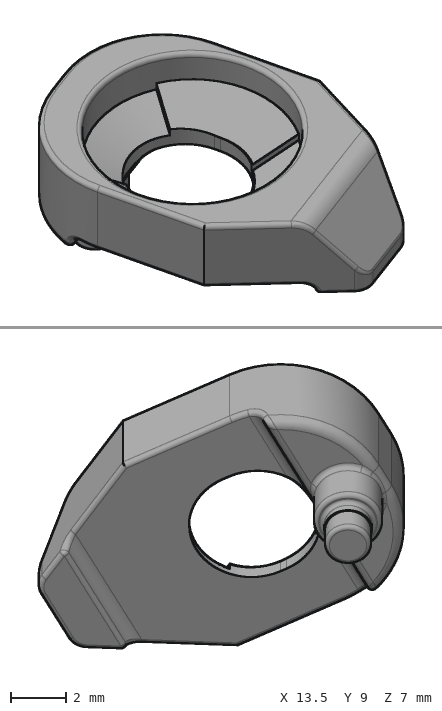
import cadquery as cq
import math

total_height = 7.0
plate_bottom = 4.01
pad_bottom = 3.21
foot_bottom = 3.54
shoulder_z = 1.48

length = 13.5
width = 9.0
end_flat = 1.0
end_radius = (width - end_flat) / 2
taper_start_x = 8.37
taper_angle = 30.0
nose_half_width = width / 2 - (length - taper_start_x) * math.tan(math.radians(taper_angle))
nose_corner_radius = 0.8

pad_end_x = 2.84
foot_start_x = 11.8
step_radius = 0.5
slope_top_x = 11.53
slope_angle = 54.0
slope_round = 1.0
edge_round = 0.19
pad_round = 0.39

bore_x = 5.51
bore_radius = 4.0
slot_x = 5.33
slot_radius = 2.27
slot_shift = 0.24
high_seat_rim = 5.75
seat_step = 0.3
seat_drop = 1.08
low_sector_half_angle = 43.0

pin_x = 1.51
pin_radius = 1.24
pin_shoulder_round = 0.18
pin_root_round = 0.2
neck_radius = 0.86
neck_bottom = 1.01
neck_round = 0.16
tip_radius = 0.84
tip_round = 0.16

small_gap = 0.01


def plan_outline():
    """Rounded end, parallel sides and a tapered nose, through the full height."""
    half = width / 2
    flat = end_flat / 2
    diagonal = end_radius * math.sqrt(0.5)
    arc_mid = (end_radius - diagonal, flat + diagonal)
    outline = (
        cq.Workplane("XY")
        .moveTo(0, -flat)
        .lineTo(0, flat)
        .threePointArc(arc_mid, (end_radius, half))
        .lineTo(taper_start_x, half)
        .lineTo(length, nose_half_width)
        .lineTo(length, -nose_half_width)
        .lineTo(taper_start_x, -half)
        .lineTo(end_radius, -half)
        .threePointArc((arc_mid[0], -arc_mid[1]), (0, -flat))
        .close()
        .extrude(total_height)
    )
    return outline.edges("|Z and >X").fillet(nose_corner_radius)


def side_profile():
    """Pad at the pin end, thin middle, foot and sloped nose, across the full width."""
    slope_end_z = total_height - (length - slope_top_x) * math.tan(math.radians(slope_angle))
    tangent = slope_round * math.tan(math.radians(slope_angle / 2))
    slope_x = slope_top_x + tangent * math.cos(math.radians(slope_angle))
    slope_z = total_height - tangent * math.sin(math.radians(slope_angle))
    step_z = plate_bottom - step_radius
    return (
        cq.Workplane("XZ")
        .moveTo(0, pad_bottom)
        .lineTo(pad_end_x, pad_bottom)
        .lineTo(pad_end_x, step_z)
        .radiusArc((pad_end_x + step_radius, plate_bottom), step_radius)
        .lineTo(foot_start_x - step_radius, plate_bottom)
        .radiusArc((foot_start_x, foot_bottom), step_radius)
        .lineTo(length, foot_bottom)
        .lineTo(length, slope_end_z)
        .lineTo(slope_x, slope_z)
        .radiusArc((slope_top_x - tangent, total_height), -slope_round)
        .lineTo(0, total_height)
        .close()
        .extrude(width / 2, both=True)
    )


def seat_cutter(rim_z):
    """Bore with a rounded rim above a conical seat that narrows down to the slot radius."""
    return (
        cq.Workplane("XZ", origin=(bore_x, 0, 0))
        .moveTo(0, rim_z - seat_drop)
        .lineTo(slot_radius, rim_z - seat_drop)
        .lineTo(bore_radius, rim_z)
        .lineTo(bore_radius, total_height - edge_round)
        .radiusArc((bore_radius + edge_round, total_height), edge_round)
        .lineTo(0, total_height)
        .close()
        .revolve(360, (0, 0), (0, 1))
    )


def low_sectors():
    """Two opposed sectors around the bore, facing -X and +X."""
    reach = bore_radius * 2
    spread = reach * math.tan(math.radians(low_sector_half_angle))
    sectors = cq.Workplane("XY", origin=(bore_x, 0, 0))
    for side in (-1, 1):
        sectors = sectors.polyline([(0, 0), (side * reach, -spread), (side * reach, spread)]).close()
    return sectors.extrude(total_height)


def seat_opening():
    """Seat whose lengthwise sectors lie one step below the crosswise ones."""
    high_seat = seat_cutter(high_seat_rim)
    low_seat = seat_cutter(high_seat_rim - seat_step).intersect(low_sectors())
    slot = (
        cq.Workplane("XY", origin=(slot_x, 0, 0))
        .slot2D(2 * slot_radius + slot_shift, 2 * slot_radius)
        .extrude(total_height)
    )
    return high_seat.union(low_seat).union(slot)


def pin():
    """Stepped pin with a short neck, reaching up into the pad."""
    base = cq.Workplane("XY", origin=(pin_x, 0, 0))
    shank = base.workplane(offset=shoulder_z).circle(pin_radius).extrude(pad_bottom + pad_round - shoulder_z)
    shank = shank.faces("<Z").edges().fillet(pin_shoulder_round)
    tip = base.circle(tip_radius).extrude(shoulder_z).faces("<Z").edges().fillet(tip_round)
    neck = base.workplane(offset=neck_bottom).circle(neck_radius).extrude(shoulder_z - neck_bottom)
    stepped = shank.union(tip).union(neck)
    neck_root = cq.selectors.BoxSelector(
        (0, -neck_radius, shoulder_z - small_gap), (2 * pin_x, neck_radius, shoulder_z + small_gap)
    )
    return stepped.edges(neck_root).edges(cq.selectors.RadiusNthSelector(0)).fillet(neck_round)


def rounded_body():
    """Body with its lower, pad and upper edges rounded."""
    underside = cq.selectors.BoxSelector(
        (pad_end_x + small_gap, -width, pad_bottom + small_gap),
        (length + small_gap, width, plate_bottom + small_gap),
    )
    body = plan_outline().intersect(side_profile())
    body = body.edges(underside).edges("not |Z").fillet(edge_round)
    body = body.faces("<Z").edges().fillet(pad_round)
    return body.faces(">Z").edges("not |Y").fillet(edge_round)


def pin_root_edges():
    """Region holding the joint between the pin shank and the pad."""
    reach = pin_radius + small_gap
    return cq.selectors.BoxSelector(
        (pin_x - reach, -reach, pad_bottom - small_gap),
        (pin_x + reach, reach, pad_bottom + pad_round / 2),
    )


result = rounded_body().cut(seat_opening()).union(pin())
result = result.edges(pin_root_edges()).fillet(pin_root_round)